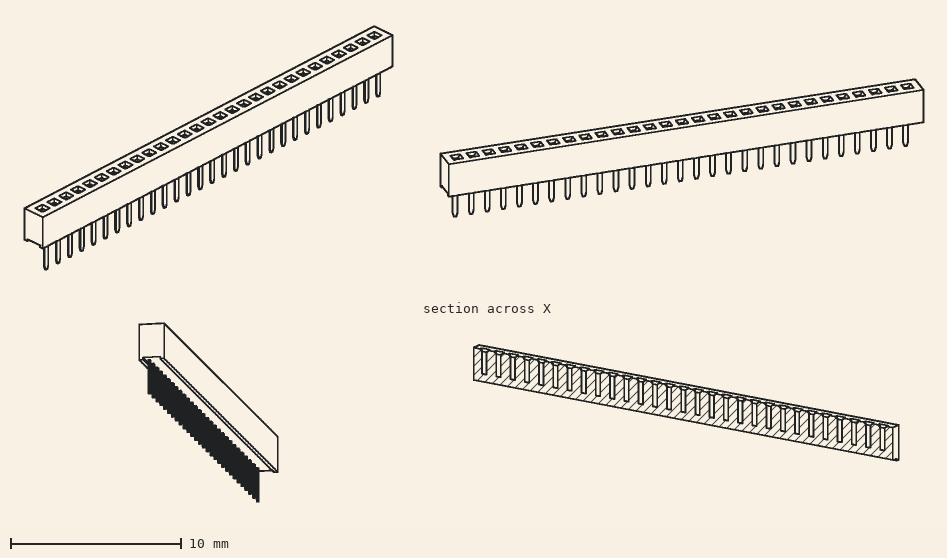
import cadquery as cq

body_width = 1.5
body_length = 29.5
total_height = 4.0
body_height = 2.12
body_bottom = total_height - body_height

contact_count = 29
row_length = 28.0
pitch = row_length / (contact_count - 1)

foot_width = 0.25
groove_depth = 0.12
groove_roof = body_bottom + groove_depth

funnel_mouth = 0.6
funnel_throat = 0.3
funnel_depth = 0.15
socket_depth = 1.5

pin_thickness = 0.1
pin_width = 0.3
pin_tip_width = 0.15
pin_tip_height = 0.25
pin_offset = 0.3
pin_embed = 0.15

contact_places = [(0, i * pitch - row_length / 2) for i in range(contact_count)]


def make_body():
    """Rectangular housing with the groove running along its underside."""
    block = cq.Workplane("XY").workplane(offset=body_bottom).rect(body_width, body_length).extrude(body_height)
    groove = (
        cq.Workplane("XY")
        .workplane(offset=body_bottom)
        .rect(body_width - 2 * foot_width, body_length)
        .extrude(groove_depth)
    )
    return block.cut(groove)


def make_socket():
    """Cutter for one socket, centred on the origin in X and Y."""
    funnel = (
        cq.Workplane("XY")
        .workplane(offset=total_height)
        .rect(funnel_mouth, funnel_mouth)
        .workplane(offset=-funnel_depth)
        .rect(funnel_throat, funnel_throat)
        .loft(ruled=True)
    )
    hole = (
        cq.Workplane("XY")
        .workplane(offset=total_height - socket_depth)
        .rect(funnel_throat, funnel_throat)
        .extrude(socket_depth - funnel_depth)
    )
    return funnel.union(hole)


def make_pin():
    """One pin with its root sunk into the housing above the groove."""
    pin_top = groove_roof + pin_embed
    outline = [
        (-pin_tip_width / 2, 0),
        (pin_tip_width / 2, 0),
        (pin_width / 2, pin_tip_height),
        (pin_width / 2, pin_top),
        (-pin_width / 2, pin_top),
        (-pin_width / 2, pin_tip_height),
    ]
    flat = cq.Workplane("YZ").polyline(outline).close().extrude(pin_thickness / 2, both=True)
    return flat.translate((pin_offset, 0, 0))


def repeat_at_contacts(shape):
    """Copies of a shape at every contact place."""
    solid = shape.val()
    return cq.Workplane("XY").pushPoints(contact_places).eachpoint(lambda place: solid.moved(place))


result = make_body().cut(repeat_at_contacts(make_socket())).union(repeat_at_contacts(make_pin()))